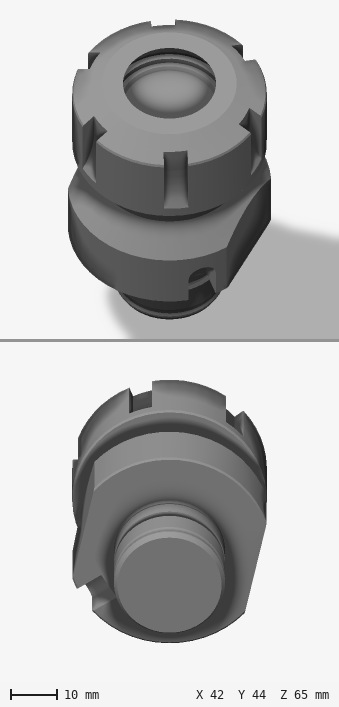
import cadquery as cq
import math

total_height = 65.05
body_bottom = 18.0
nut_bottom = 45.15
nut_shoulder = 62.05

shank_radius = 24.0 / 2
shank_end_radius = 11.25
shank_chamfer_height = 1.4
rim_top = 1.9
ring_bottom = 2.5
ring_top = 4.0
ring_radius = 11.65
groove_bottom = 9.8
groove_top = 12.05
groove_radius = 21.1 / 2
groove_chamfer = 0.4
relief_bottom = 16.1
relief_top = 16.6
relief_depth = 0.2

body_radius = 22.0
body_chamfer = 0.4
neck_radius = 32.0 / 2
body_shoulder = 31.95
neck_bottom = body_shoulder + body_radius - neck_radius
flat_distance = 19.05
drive_slot_width = 6.25
drive_slot_depth = 6.5
drive_slot_straight_top = 25.0
drive_slot_angle = -45.0

nut_radius = 42.0 / 2
nut_face_radius = 14.5
nut_bottom_chamfer = 0.4
nut_edge_inset = 0.25
nut_edge_height = 0.5
spanner_slot_count = 6
spanner_slot_width = 5.2
spanner_wall_radius = 18.1
spanner_slot_bottom = 47.95
spanner_runout_start = 57.25

mouth_radius = 20.1 / 2
cone_depth = 5.45
cone_radius = 26 / 2
step_depth = 6.75
step_radius = 11.7
seat_radius = 10.7
mouth_depth = 7.5


def make_turned_body():
    """Revolve the shank, body, neck and nut as one outline."""
    profile = [
        (0, 0),
        (shank_end_radius, 0),
        (shank_radius, shank_chamfer_height),
        (shank_radius, rim_top),
        (ring_radius, ring_bottom),
        (shank_radius, ring_top),
        (shank_radius, groove_bottom),
        (groove_radius + groove_chamfer, groove_bottom),
        (groove_radius, groove_bottom + groove_chamfer),
        (groove_radius, groove_top),
        (shank_radius, groove_top),
        (shank_radius, relief_bottom),
        (shank_radius - relief_depth, relief_top),
        (shank_radius, relief_top),
        (shank_radius, body_bottom),
        (body_radius - body_chamfer, body_bottom),
        (body_radius, body_bottom + body_chamfer),
        (body_radius, body_shoulder),
        (neck_radius, neck_bottom),
        (neck_radius, nut_bottom),
        (nut_radius - nut_bottom_chamfer, nut_bottom),
        (nut_radius, nut_bottom + nut_bottom_chamfer),
        (nut_radius, nut_shoulder - nut_edge_height),
        (nut_radius - nut_edge_inset, nut_shoulder),
        (nut_face_radius, total_height),
        (0, total_height),
    ]
    return cq.Workplane("XZ").polyline(profile).close().revolve(360, (0, 0), (0, 1))


def make_mouth():
    """Blind opening in the nut face, widening below its edge."""
    profile = [
        (0, total_height),
        (mouth_radius, total_height),
        (cone_radius, total_height - cone_depth),
        (step_radius, total_height - cone_depth),
        (step_radius, total_height - step_depth),
        (seat_radius, total_height - step_depth),
        (mouth_radius, total_height - mouth_depth),
        (0, total_height - mouth_depth),
    ]
    return cq.Workplane("XZ").polyline(profile).close().revolve(360, (0, 0), (0, 1))


def make_flat_cutters():
    """Two blocks that leave parallel flats on the body, facing -X and +X."""
    height = neck_bottom - body_bottom
    block = cq.Workplane("XY").box(
        body_radius, 2 * body_radius, height, centered=(False, True, False)
    ).translate((flat_distance, 0, body_bottom))
    return block.union(block.rotate((0, 0, 0), (0, 0, 1), 180))


def make_drive_slot():
    """Round-topped radial slot, open at the underside of the body."""
    half_width = drive_slot_width / 2
    slot = (
        cq.Workplane("YZ", origin=(body_radius - drive_slot_depth, 0, 0))
        .moveTo(-half_width, body_bottom)
        .lineTo(half_width, body_bottom)
        .lineTo(half_width, drive_slot_straight_top)
        .threePointArc(
            (0, drive_slot_straight_top + half_width),
            (-half_width, drive_slot_straight_top),
        )
        .close()
        .extrude(2 * drive_slot_depth)
    )
    return slot.rotate((0, 0, 0), (0, 0, 1), drive_slot_angle)


def make_spanner_slot():
    """Nut slot whose coaxial inner wall curves out to the rim at its lower end."""
    depth = nut_radius - spanner_wall_radius
    drop = spanner_runout_start - spanner_slot_bottom
    arc_radius = (depth**2 + drop**2) / (2 * depth)
    half_sweep = math.asin(drop / arc_radius) / 2
    arc_middle = (
        spanner_wall_radius + arc_radius * (1 - math.cos(half_sweep)),
        spanner_runout_start - arc_radius * math.sin(half_sweep),
    )
    ring_profile = (
        cq.Workplane("XZ")
        .moveTo(spanner_wall_radius, total_height)
        .lineTo(spanner_wall_radius, spanner_runout_start)
        .threePointArc(arc_middle, (nut_radius, spanner_slot_bottom))
        .lineTo(body_radius, spanner_slot_bottom)
        .lineTo(body_radius, total_height)
        .close()
    )
    ring = ring_profile.revolve(360, (0, 0), (0, 1))
    block = cq.Workplane("XY").box(
        body_radius, spanner_slot_width, total_height, centered=(False, True, False)
    )
    return ring.intersect(block)


result = make_turned_body().cut(make_mouth()).cut(make_flat_cutters()).cut(make_drive_slot())
spanner_slot = make_spanner_slot()
for index in range(spanner_slot_count):
    angle = index * 360 / spanner_slot_count
    result = result.cut(spanner_slot.rotate((0, 0, 0), (0, 0, 1), angle))